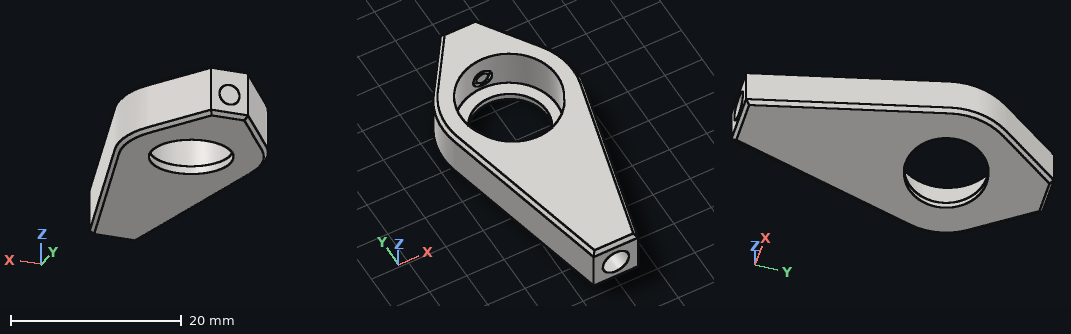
import cadquery as cq
import math

length = 37.9
width = 18.0
thickness = 6.35
mid_height = thickness / 2
edge_chamfer = 0.5

round_radius = width / 2
head_end_y = 12.5
tail_end_y = head_end_y - length
head_end_width = 4.62
tail_end_width = 6.0

through_diameter = 9.9
pocket_reach = 6.67
pocket_head_radius = 6.45
pocket_tail_radius = 6.05
pocket_floor = 1.0

tail_hole_diameter = 3.5
tail_hole_depth = 9.85
drill_tip_angle = 118.0

screw_diameter = 2.5
screw_tip_chamfer = 0.45
screw_tip_y = 6.67
screw_height = 2.75


def tangent_point(x, y):
    """Point on the right of the round where the line from (x, y) touches it."""
    swing = math.acos(round_radius / math.hypot(x, y))
    angle = math.atan2(y, x) - math.copysign(swing, y)
    return round_radius * math.cos(angle), round_radius * math.sin(angle)


def make_blank():
    head_x = head_end_width / 2
    tail_x = tail_end_width / 2
    upper_x, upper_y = tangent_point(head_x, head_end_y)
    lower_x, lower_y = tangent_point(tail_x, tail_end_y)
    return (
        cq.Workplane("XY")
        .moveTo(-head_x, head_end_y)
        .lineTo(head_x, head_end_y)
        .lineTo(upper_x, upper_y)
        .threePointArc((round_radius, 0), (lower_x, lower_y))
        .lineTo(tail_x, tail_end_y)
        .lineTo(-tail_x, tail_end_y)
        .lineTo(-lower_x, lower_y)
        .threePointArc((-round_radius, 0), (-upper_x, upper_y))
        .close()
        .extrude(thickness)
        .faces("<Z or >Z")
        .chamfer(edge_chamfer)
    )


def make_pocket_circle(radius, center_y):
    return (
        cq.Workplane("XY", origin=(0, center_y, pocket_floor))
        .circle(radius)
        .extrude(thickness - pocket_floor)
    )


def make_bore():
    """Through hole and pocket; the pocket reaches equally far along +Y and -Y."""
    through = cq.Workplane("XY").circle(through_diameter / 2).extrude(thickness)
    head_circle = make_pocket_circle(pocket_head_radius, pocket_reach - pocket_head_radius)
    tail_circle = make_pocket_circle(pocket_tail_radius, pocket_tail_radius - pocket_reach)
    return through.union(head_circle).union(tail_circle)


def make_tail_hole():
    """Cylinder with a conical drill tip, revolved about the Y direction."""
    radius = tail_hole_diameter / 2
    shoulder_y = tail_end_y + tail_hole_depth
    tip_y = shoulder_y + radius / math.tan(math.radians(drill_tip_angle / 2))
    return (
        cq.Workplane("XY", origin=(0, 0, mid_height))
        .moveTo(0, tail_end_y)
        .lineTo(radius, tail_end_y)
        .lineTo(radius, shoulder_y)
        .lineTo(0, tip_y)
        .close()
        .revolve(360, (0, 0, 0), (0, 1, 0))
    )


def make_screw_hole():
    """Round hole from the middle of the bore out through the head end."""
    return (
        cq.Workplane("XZ", origin=(0, head_end_y, screw_height))
        .circle(screw_diameter / 2)
        .extrude(head_end_y)
    )


def make_screw():
    """Set screw, flush with the head end and chamfered at the bore."""
    return (
        cq.Workplane("XZ", origin=(0, head_end_y, screw_height))
        .circle(screw_diameter / 2)
        .extrude(head_end_y - screw_tip_y)
        .faces("<Y")
        .chamfer(screw_tip_chamfer)
    )


plate = make_blank().cut(make_bore()).cut(make_tail_hole()).cut(make_screw_hole())
set_screw = make_screw()

result = cq.Compound.makeCompound([plate.val(), set_screw.val()])